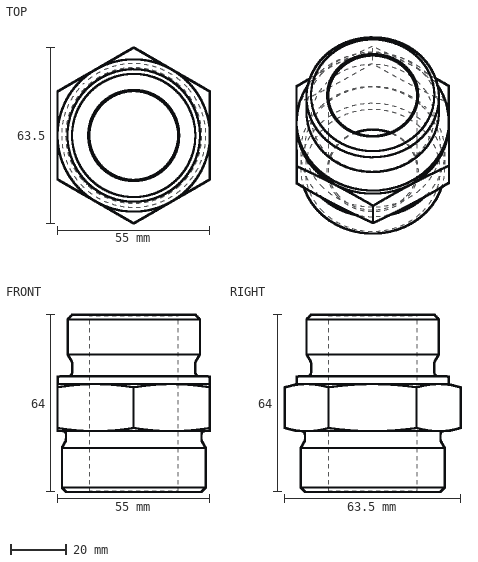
import cadquery as cq
import math

total_height = 64.0
hex_across_flats = 55.0
bore_diameter = 32.0
bore_chamfer = 0.45
undercut_angle = 30.0
hex_chamfer_angle = 15.0

lower_thread_radius = 52.0 / 2
lower_neck_radius = 49.0 / 2
lower_chamfer = 1.65
lower_thread_top = 16.0
lower_runout_blend = 1.1
lower_neck_fillet = 1.1

hex_bottom = 22.0
hex_top = 39.0
collar_radius = hex_across_flats / 2
collar_bevel_width = 1.1
collar_bevel_height = 0.2
collar_top = 41.85
seat_angle = 5.0
seat_fillet = 1.6

upper_thread_radius = 47.8 / 2
upper_neck_radius = 44.5 / 2
upper_chamfer = 1.65
upper_thread_bottom = 49.7
upper_runout_blend = 1.55


def undercut_height(thread_radius, neck_radius):
    """Axial length of the sloped run-out between a thread and its neck."""
    return (thread_radius - neck_radius) / math.tan(math.radians(undercut_angle))


def fillet_ring(body, radius, height, fillet_radius):
    """Fillet the circular edge of the given radius and height about the Z axis."""
    tolerance = 0.005
    half_box = radius + tolerance
    box = cq.selectors.BoxSelector(
        (-half_box, -half_box, height - tolerance),
        (half_box, half_box, height + tolerance),
        boundingbox=True,
    )
    ring = cq.selectors.RadiusNthSelector(0)
    return body.edges(box).edges("%CIRCLE").edges(ring).fillet(fillet_radius)


def lower_end():
    """Threaded end, run-out and neck, reaching up into the hexagon."""
    neck_bottom = lower_thread_top + undercut_height(lower_thread_radius, lower_neck_radius)
    body = (
        cq.Workplane("XZ")
        .lineTo(lower_thread_radius - lower_chamfer, 0)
        .lineTo(lower_thread_radius, lower_chamfer)
        .lineTo(lower_thread_radius, lower_thread_top)
        .lineTo(lower_neck_radius, neck_bottom)
        .lineTo(lower_neck_radius, hex_bottom)
        .lineTo(collar_radius, hex_bottom)
        .lineTo(collar_radius, hex_top)
        .lineTo(0, hex_top)
        .close()
        .revolve()
    )
    body = fillet_ring(body, lower_neck_radius, neck_bottom, lower_runout_blend)
    return fillet_ring(body, lower_neck_radius, hex_bottom, lower_neck_fillet)


def upper_end():
    """Collar with its dished sealing face, neck, run-out and threaded end."""
    neck_top = upper_thread_bottom - undercut_height(upper_thread_radius, upper_neck_radius)
    rim_radius = collar_radius - collar_bevel_width
    seat_drop = (rim_radius - upper_neck_radius) * math.tan(math.radians(seat_angle))
    neck_bottom = collar_top - seat_drop
    body = (
        cq.Workplane("XZ")
        .moveTo(0, hex_bottom)
        .lineTo(collar_radius, hex_bottom)
        .lineTo(collar_radius, collar_top - collar_bevel_height)
        .lineTo(rim_radius, collar_top)
        .lineTo(upper_neck_radius, neck_bottom)
        .lineTo(upper_neck_radius, neck_top)
        .lineTo(upper_thread_radius, upper_thread_bottom)
        .lineTo(upper_thread_radius, total_height - upper_chamfer)
        .lineTo(upper_thread_radius - upper_chamfer, total_height)
        .lineTo(0, total_height)
        .close()
        .revolve()
    )
    body = fillet_ring(body, upper_neck_radius, neck_bottom, seat_fillet)
    return fillet_ring(body, upper_neck_radius, neck_top, upper_runout_blend)


def hexagon():
    """Hexagon with corners on the Y axis, chamfered by a cone at both ends."""
    corner_diameter = hex_across_flats / math.cos(math.pi / 6)
    prism = (
        cq.Workplane("XY", origin=(0, 0, hex_bottom))
        .polygon(6, corner_diameter)
        .extrude(hex_top - hex_bottom)
        .rotate((0, 0, 0), (0, 0, 1), 90)
    )
    cone_radius = corner_diameter / 2 + 0.65
    cone_height = (cone_radius - collar_radius) * math.tan(math.radians(hex_chamfer_angle))
    chamfer_envelope = (
        cq.Workplane("XZ")
        .moveTo(0, hex_bottom)
        .lineTo(collar_radius, hex_bottom)
        .lineTo(cone_radius, hex_bottom + cone_height)
        .lineTo(cone_radius, hex_top - cone_height)
        .lineTo(collar_radius, hex_top)
        .lineTo(0, hex_top)
        .close()
        .revolve()
    )
    return prism.intersect(chamfer_envelope)


def bore():
    """Through bore with a small chamfer at each mouth."""
    radius = bore_diameter / 2
    return (
        cq.Workplane("XZ")
        .lineTo(radius + bore_chamfer, 0)
        .lineTo(radius, bore_chamfer)
        .lineTo(radius, total_height - bore_chamfer)
        .lineTo(radius + bore_chamfer, total_height)
        .lineTo(0, total_height)
        .close()
        .revolve()
    )


result = lower_end().union(upper_end()).union(hexagon()).cut(bore())